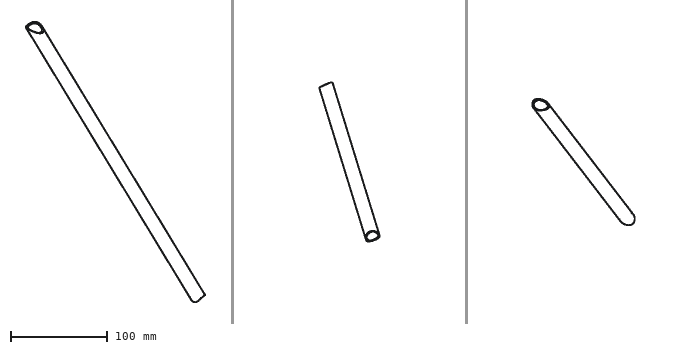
import cadquery as cq
import math

OUTER_DIAMETER = 15.0
WALL = 1.5

LEAN_X = -0.523
LEAN_Y = -0.3014
JOINT_SPACING = 356.1

LOWER_JOINT_DIAMETER = 20.0
LOWER_JOINT_HEADING = -1.6
LOWER_JOINT_SLOPE = 5.2
UPPER_JOINT_DIAMETER = 25.0
UPPER_JOINT_HEADING = 2.3
UPPER_JOINT_SLOPE = -15.0

END_ALLOWANCE = 30.0
CUTTER_LENGTH = 120.0

tube_direction = cq.Vector(LEAN_X, LEAN_Y, 1).normalized()
lower_joint = tube_direction * (-JOINT_SPACING / 2)
upper_joint = tube_direction * (JOINT_SPACING / 2)


def stock_tube():
    """Straight tube centred on the origin, running past both joints."""
    section_plane = cq.Plane(origin=(0, 0, 0), normal=tube_direction.toTuple())
    outer_radius = OUTER_DIAMETER / 2
    section = cq.Workplane(section_plane).circle(outer_radius).circle(outer_radius - WALL)
    return section.extrude(JOINT_SPACING / 2 + END_ALLOWANCE, both=True)


def joint_cutter(joint, outward, diameter, heading, slope):
    """Mating cylinder through a joint, with the space beyond it along `outward`."""
    heading_angle = math.radians(heading)
    slope_angle = math.radians(slope)
    axis = cq.Vector(
        math.cos(slope_angle) * math.cos(heading_angle),
        math.cos(slope_angle) * math.sin(heading_angle),
        math.sin(slope_angle),
    )
    cylinder_start = joint - axis * (CUTTER_LENGTH / 2)
    cylinder = cq.Solid.makeCylinder(diameter / 2, CUTTER_LENGTH, cylinder_start, axis)
    beyond = cq.Solid.makeCylinder(OUTER_DIAMETER, 2 * END_ALLOWANCE, joint, outward)
    return cylinder.fuse(beyond)


lower_cutter = joint_cutter(
    lower_joint, tube_direction * -1, LOWER_JOINT_DIAMETER, LOWER_JOINT_HEADING, LOWER_JOINT_SLOPE
)
upper_cutter = joint_cutter(
    upper_joint, tube_direction, UPPER_JOINT_DIAMETER, UPPER_JOINT_HEADING, UPPER_JOINT_SLOPE
)
result = stock_tube().cut(cq.Workplane(lower_cutter)).cut(cq.Workplane(upper_cutter))